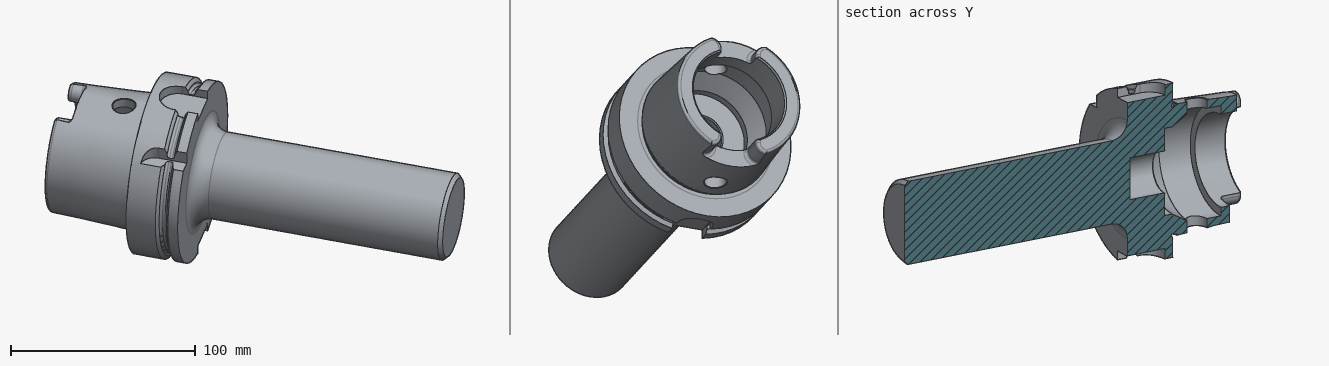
import cadquery as cq
import math

ARC_INSET = 1 - math.sqrt(0.5)

TOTAL_LENGTH = 220.0
FLANGE_START = 50.0
FLANGE_END = 79.0
FLANGE_RADIUS = 100.0 / 2

TAPER_LENGTH = 47.3
TAPER_SMALL_RADIUS = 35.6
TAPER_LARGE_RADIUS = 37.8
TAPER_NOSE_ROUND = 1.5
RELIEF_RADIUS = 37.2
RELIEF_DEPTH = 0.9
RELIEF_OUTER_RADIUS = 39.4
RELIEF_NECK_END = 48.8
RELIEF_FLOOR_RADIUS = 36.5

BORE_MOUTH_RADIUS = 27.5
BORE_RADIUS = 26.6
BORE_MOUTH_CHAMFER = BORE_MOUTH_RADIUS - BORE_RADIUS
CLAMP_GROOVE_START = 19.8
CLAMP_GROOVE_END = 39.5
CLAMP_GROOVE_RADIUS = 31.5
BORE_CONE_END = 50.5
BORE_DEEP_RADIUS = 24.9
BORE_DEPTH = 55.0
COOLANT_RADIUS = 11.9
COOLANT_DEPTH = 22.0
COOLANT_CHAMFER = 0.7

CROSS_HOLE_X = 34.8
CROSS_HOLE_RADIUS = 6.2
CROSS_HOLE_CHAMFER = 0.33

GROOVE_CENTRE = 70.0
GROOVE_HALF_MOUTH = 3.5
GROOVE_HALF_WIDTH = 2.07
GROOVE_STRAIGHT_RADIUS = 47.7
GROOVE_FLOOR_RADIUS = 45.8
GROOVE_CORNER_ROUND = 1.3

KEY_SLOT_START = 55.0
KEY_SLOT_HALF_WIDTH = 10.0
KEY_SLOT_FLOOR = 44.0

NOTCH_START = 55.0
NOTCH_OFFSET = 31.7
NOTCH_CUTTER_RADIUS = 8.0

DRIVE_SLOT_TOP_DEPTH = 9.7
DRIVE_SLOT_BOTTOM_DEPTH = 14.0
DRIVE_SLOT_HALF_WIDTH = 10.1
DRIVE_FLARE_RADIUS = 5.7
DRIVE_FLARE_START = 26.5
DRIVE_EDGE_ROUND = 2.0
MOUTH_PLATE_SIZE = 4 * FLANGE_RADIUS
MOUTH_PLATE_THICKNESS = 2.2

BAR_RADIUS = 24.0
BAR_ROOT_ROUND = 10.0
BAR_END_CHAMFER = 2.2


def revolve_about_x(profile):
    return profile.close().revolve(360, (0, 0, 0), (1, 0, 0))


def make_body():
    """Taper, flange and bar turned as one profile."""
    arc_offset = BAR_ROOT_ROUND * ARC_INSET
    body = revolve_about_x(
        cq.Workplane("XY")
        .moveTo(0, 0)
        .lineTo(0, TAPER_SMALL_RADIUS)
        .lineTo(TAPER_LENGTH, TAPER_LARGE_RADIUS)
        .lineTo(TAPER_LENGTH, RELIEF_RADIUS)
        .lineTo(RELIEF_NECK_END, RELIEF_RADIUS)
        .lineTo(FLANGE_START + RELIEF_DEPTH, RELIEF_FLOOR_RADIUS)
        .lineTo(FLANGE_START, RELIEF_OUTER_RADIUS)
        .lineTo(FLANGE_START, FLANGE_RADIUS)
        .lineTo(FLANGE_END, FLANGE_RADIUS)
        .lineTo(FLANGE_END, BAR_RADIUS + BAR_ROOT_ROUND)
        .threePointArc(
            (FLANGE_END + arc_offset, BAR_RADIUS + arc_offset),
            (FLANGE_END + BAR_ROOT_ROUND, BAR_RADIUS),
        )
        .lineTo(TOTAL_LENGTH, BAR_RADIUS)
        .lineTo(TOTAL_LENGTH, 0)
    )
    body = body.faces("<X").edges().fillet(TAPER_NOSE_ROUND)
    return body.faces(">X").edges().chamfer(BAR_END_CHAMFER)


def make_bore():
    """Bore with a chamfered mouth, a clamping groove behind its lip and a blind coolant hole in its floor."""
    return revolve_about_x(
        cq.Workplane("XY")
        .moveTo(0, 0)
        .lineTo(0, BORE_MOUTH_RADIUS)
        .lineTo(BORE_MOUTH_CHAMFER, BORE_RADIUS)
        .lineTo(CLAMP_GROOVE_START, BORE_RADIUS)
        .lineTo(CLAMP_GROOVE_START, CLAMP_GROOVE_RADIUS)
        .lineTo(CLAMP_GROOVE_END, CLAMP_GROOVE_RADIUS)
        .lineTo(BORE_CONE_END, BORE_DEEP_RADIUS)
        .lineTo(BORE_DEPTH, BORE_DEEP_RADIUS)
        .lineTo(BORE_DEPTH, COOLANT_RADIUS + COOLANT_CHAMFER)
        .lineTo(BORE_DEPTH + COOLANT_CHAMFER, COOLANT_RADIUS)
        .lineTo(BORE_DEPTH + COOLANT_DEPTH, COOLANT_RADIUS)
        .lineTo(BORE_DEPTH + COOLANT_DEPTH, 0)
    )


def make_groove():
    """Ring with a flared mouth and rounded floor corners."""
    corner = GROOVE_CORNER_ROUND
    inset = corner * ARC_INSET
    left = GROOVE_CENTRE - GROOVE_HALF_WIDTH
    right = GROOVE_CENTRE + GROOVE_HALF_WIDTH
    floor = GROOVE_FLOOR_RADIUS
    return revolve_about_x(
        cq.Workplane("XY")
        .moveTo(GROOVE_CENTRE - GROOVE_HALF_MOUTH, FLANGE_RADIUS)
        .lineTo(left, GROOVE_STRAIGHT_RADIUS)
        .lineTo(left, floor + corner)
        .threePointArc((left + inset, floor + inset), (left + corner, floor))
        .lineTo(right - corner, floor)
        .threePointArc((right - inset, floor + inset), (right, floor + corner))
        .lineTo(right, GROOVE_STRAIGHT_RADIUS)
        .lineTo(GROOVE_CENTRE + GROOVE_HALF_MOUTH, FLANGE_RADIUS)
    )


def make_key_slot():
    """Key slot on the +Z side: half-round inner end, open towards the bar."""
    end_centre = KEY_SLOT_START + KEY_SLOT_HALF_WIDTH
    return (
        cq.Workplane("XY", origin=(0, 0, KEY_SLOT_FLOOR))
        .moveTo(FLANGE_END, KEY_SLOT_HALF_WIDTH)
        .lineTo(end_centre, KEY_SLOT_HALF_WIDTH)
        .threePointArc((KEY_SLOT_START, 0), (end_centre, -KEY_SLOT_HALF_WIDTH))
        .lineTo(FLANGE_END, -KEY_SLOT_HALF_WIDTH)
        .close()
        .extrude(FLANGE_RADIUS - KEY_SLOT_FLOOR)
    )


def make_orientation_notch():
    """Square corner cut on the -Y, +Z side with a milled round at its inner end."""
    size = FLANGE_RADIUS - NOTCH_OFFSET
    return (
        cq.Workplane("XY", origin=(0, 0, NOTCH_OFFSET))
        .moveTo(NOTCH_START, -FLANGE_RADIUS)
        .lineTo(NOTCH_START, -NOTCH_OFFSET)
        .lineTo(FLANGE_END, -NOTCH_OFFSET)
        .lineTo(FLANGE_END, -FLANGE_RADIUS)
        .close()
        .extrude(size)
        .edges("|Z and <X and >Y")
        .fillet(NOTCH_CUTTER_RADIUS)
    )


def make_drive_slot(depth):
    """Drive slot on the +Z side: walls flare outwards, floor and mouth edges are rounded."""
    half = DRIVE_SLOT_HALF_WIDTH
    flare = DRIVE_FLARE_RADIUS
    inset = flare * ARC_INSET
    flare_end = DRIVE_FLARE_START + flare
    outer_half = FLANGE_RADIUS / 2
    slot = (
        cq.Workplane("YZ")
        .moveTo(-half, 0)
        .lineTo(-half, DRIVE_FLARE_START)
        .threePointArc((-half - inset, flare_end - inset), (-half - flare, flare_end))
        .lineTo(-outer_half, flare_end)
        .lineTo(-outer_half, FLANGE_RADIUS)
        .lineTo(outer_half, FLANGE_RADIUS)
        .lineTo(outer_half, flare_end)
        .lineTo(half + flare, flare_end)
        .threePointArc((half + inset, flare_end - inset), (half, DRIVE_FLARE_START))
        .lineTo(half, 0)
        .close()
        .extrude(depth)
        .faces(">X")
        .edges()
        .fillet(DRIVE_EDGE_ROUND)
    )
    plate = cq.Workplane("YZ").rect(MOUTH_PLATE_SIZE, MOUTH_PLATE_SIZE).extrude(-MOUTH_PLATE_THICKNESS)
    mouth = cq.selectors.BoxSelector(
        (-DRIVE_EDGE_ROUND / 2, -FLANGE_RADIUS, -DRIVE_EDGE_ROUND),
        (DRIVE_EDGE_ROUND / 2, FLANGE_RADIUS, FLANGE_RADIUS + DRIVE_EDGE_ROUND),
    )
    return slot.union(plate).edges(mouth).fillet(DRIVE_EDGE_ROUND)


def opposite(cutter):
    """The same cutter turned half a turn about the part axis."""
    return cutter.rotate((0, 0, 0), (1, 0, 0), 180)


def drill_cross_hole(body):
    """Drill along Z through both sides of the taper and break the outer edges."""
    hole = (
        cq.Workplane("XY", origin=(CROSS_HOLE_X, 0, 0))
        .circle(CROSS_HOLE_RADIUS)
        .extrude(FLANGE_RADIUS, both=True)
    )
    reach = CROSS_HOLE_RADIUS + CROSS_HOLE_CHAMFER
    rims = cq.selectors.BoxSelector(
        (CROSS_HOLE_X - reach, -reach, -FLANGE_RADIUS),
        (CROSS_HOLE_X + reach, reach, FLANGE_RADIUS),
        boundingbox=True,
    )
    return body.cut(hole).edges(rims).edges("not |Z").chamfer(CROSS_HOLE_CHAMFER)


result = (
    drill_cross_hole(make_body())
    .cut(make_bore())
    .cut(make_drive_slot(DRIVE_SLOT_TOP_DEPTH))
    .cut(opposite(make_drive_slot(DRIVE_SLOT_BOTTOM_DEPTH)))
    .cut(make_groove())
    .cut(make_key_slot())
    .cut(opposite(make_key_slot()))
    .cut(make_orientation_notch())
)